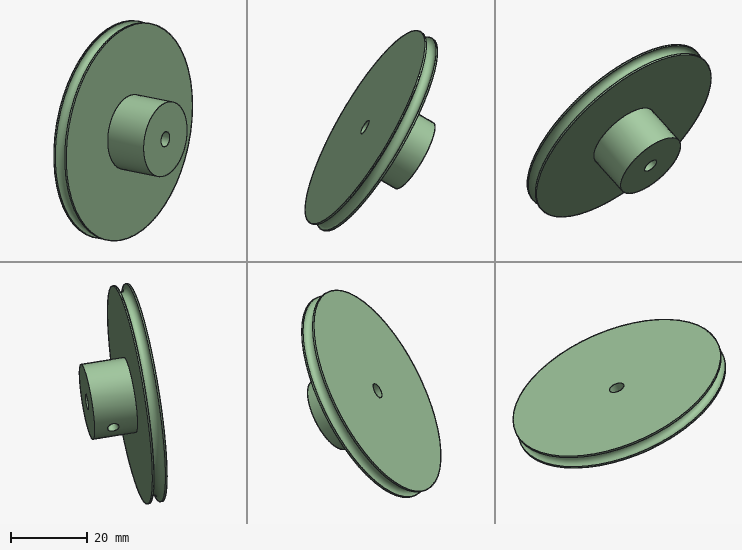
import cadquery as cq

wheel_radius = 29.0
wheel_width = 4.0
hub_radius = 10.0
total_length = 15.5
bore_diameter = 4.0

groove_radius = 1.5
groove_depth = 2.0

screw_hole_diameter = 3.0
screw_hole_from_end = 5.0
screw_hole_x = total_length - screw_hole_from_end


def wheel_and_hub():
    """Revolve the half section, with X along the axle and Y as radius."""
    groove_left = wheel_width / 2 - groove_radius
    groove_right = wheel_width / 2 + groove_radius
    floor_radius = wheel_radius - groove_depth
    arc_start_radius = floor_radius + groove_radius
    section = (
        cq.Workplane("XY")
        .moveTo(0, 0)
        .lineTo(0, wheel_radius)
        .lineTo(groove_left, wheel_radius)
        .lineTo(groove_left, arc_start_radius)
        .threePointArc((wheel_width / 2, floor_radius), (groove_right, arc_start_radius))
        .lineTo(groove_right, wheel_radius)
        .lineTo(wheel_width, wheel_radius)
        .lineTo(wheel_width, hub_radius)
        .lineTo(total_length, hub_radius)
        .lineTo(total_length, 0)
        .close()
    )
    return section.revolve(360, (0, 0, 0), (1, 0, 0))


def axle_bore():
    return cq.Workplane("YZ").circle(bore_diameter / 2).extrude(total_length)


def screw_hole():
    """Run from the axis out through the +Y side of the hub."""
    return (
        cq.Workplane("XZ")
        .center(screw_hole_x, 0)
        .circle(screw_hole_diameter / 2)
        .extrude(-hub_radius)
    )


result = wheel_and_hub().cut(axle_bore()).cut(screw_hole())